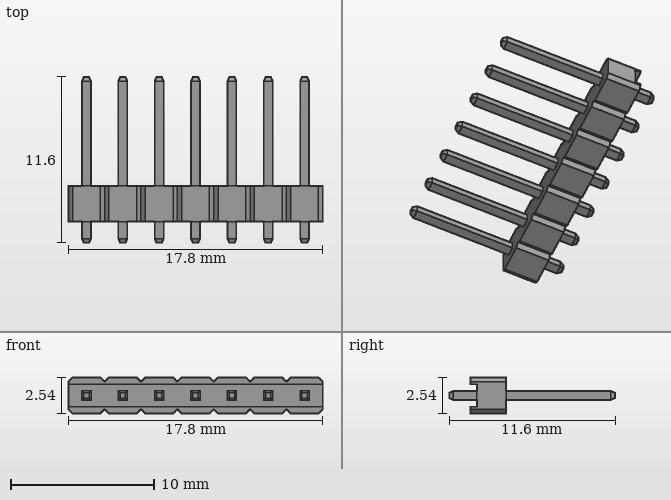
import cadquery as cq

pin_count = 7
body_length = 17.78
pitch = body_length / pin_count

body_height = pitch
body_depth = 2.49
corner_chamfer = 0.3
channel_height = 1.55
channel_depth = 0.45

pin_width = 0.64
tip_width = 0.37
taper_length = 0.3
overall_depth = 11.6
tail_length = 1.5

pin_front_y = -tail_length
pin_back_y = pin_front_y + overall_depth


def cell_center(index):
    """X position of one cell and its pin."""
    return (index - (pin_count - 1) / 2) * pitch


def make_cell(index):
    """Body block of one pin; adjoining chamfers form the V notches between cells."""
    return (
        cq.Workplane("XY")
        .box(pitch, body_depth, body_height)
        .edges("|Y")
        .chamfer(corner_chamfer)
        .translate((cell_center(index), body_depth / 2, 0))
    )


def make_taper(start_y, end_y):
    """Pin end narrowing from the full section at start_y to the tip at end_y."""
    return (
        cq.Workplane("XZ", origin=(0, start_y, 0))
        .rect(pin_width, pin_width)
        .workplane(offset=start_y - end_y)
        .rect(tip_width, tip_width)
        .loft()
    )


def make_pin():
    """Square pin on X = 0 with both ends tapered."""
    shank_front_y = pin_front_y + taper_length
    shank_back_y = pin_back_y - taper_length
    shank_length = shank_back_y - shank_front_y
    shank_start = cq.Workplane("XZ", origin=(0, shank_back_y, 0))
    shank = shank_start.rect(pin_width, pin_width).extrude(shank_length)
    front_taper = make_taper(shank_front_y, pin_front_y)
    back_taper = make_taper(shank_back_y, pin_back_y)
    return shank.union(front_taper).union(back_taper)


body = make_cell(0)
for i in range(1, pin_count):
    body = body.union(make_cell(i))

channel = cq.Workplane("XY").box(body_length, channel_depth, channel_height)
body = body.cut(channel.translate((0, channel_depth / 2, 0)))

pin = make_pin()
result = body
for i in range(pin_count):
    result = result.union(pin.translate((cell_center(i), 0, 0)))